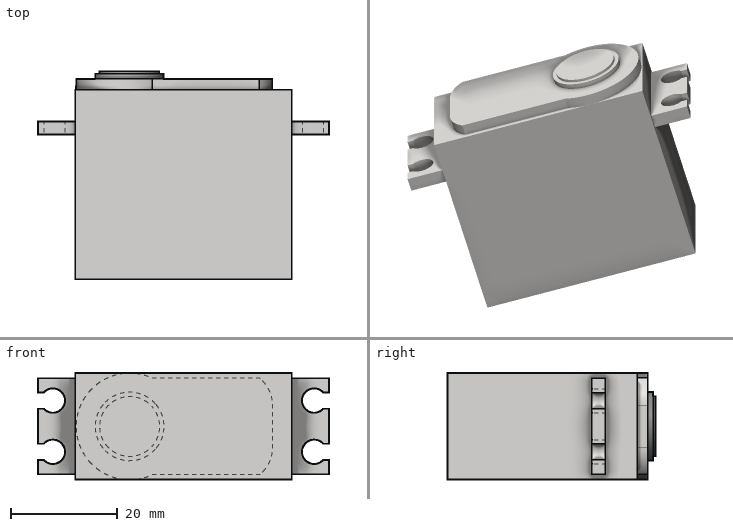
import cadquery as cq
import math

overall_length = 54.5
overall_depth = 39.0
case_height = 20.0
case_length = 40.6

lid_thickness = 2.0
boss_thickness = 1.0
boss_radius = 6.45
cap_thickness = 0.5
cap_radius = 5.6
case_depth = overall_depth - lid_thickness - boss_thickness - cap_thickness

disc_radius = case_height / 2
disc_inset = 0.15
output_x = -case_length / 2 + disc_inset + disc_radius
bar_start = 4.3
bar_end = 26.75
bar_corner_radius = 6.6
bar_corner_width = 2.4

ear_height = 18.05
ear_thickness = 2.5
ear_setback = 5.95
hole_diameter = 4.5
hole_spacing = 9.6
hole_edge_distance = 2.8
slot_width = 3.0
ear_back = case_depth - ear_setback


def box_from_front(length, depth, height, front):
    """Box centred on X and Z with its front face at Y = front."""
    return cq.Workplane("XY").box(length, depth, height).translate((0, front + depth / 2, 0))


def cylinder_on_output(radius, thickness, front):
    """Disc on the output axis, extending towards +Y from Y = front."""
    return cq.Workplane("XZ", origin=(output_x, front, 0)).circle(radius).extrude(-thickness)


def make_ears():
    """Plate through the case whose ends form the ears, with keyhole-shaped openings."""
    ears = box_from_front(overall_length, ear_thickness, ear_height, ear_back - ear_thickness)
    for side in (-1, 1):
        edge_x = side * overall_length / 2
        hole_x = edge_x - side * hole_edge_distance
        for hole_z in (-hole_spacing / 2, hole_spacing / 2):
            hole = (
                cq.Workplane("XZ", origin=(hole_x, ear_back, hole_z))
                .circle(hole_diameter / 2)
                .extrude(ear_thickness)
            )
            slot = (
                cq.Workplane("XZ", origin=((hole_x + edge_x) / 2, ear_back, hole_z))
                .rect(hole_edge_distance, slot_width)
                .extrude(ear_thickness)
            )
            ears = ears.cut(hole).cut(slot)
    return ears


def make_lid_bar():
    """Bar that leaves the disc where it meets its rim and ends in two rounded corners."""
    half_height = math.sqrt(disc_radius**2 - bar_start**2)
    end_x = output_x + bar_end
    corner_x = end_x - bar_corner_width
    center_x = end_x - bar_corner_radius

    start_angle = math.acos((corner_x - center_x) / bar_corner_radius)
    center_z = half_height - bar_corner_radius * math.sin(start_angle)
    middle_x = center_x + bar_corner_radius * math.cos(start_angle / 2)
    middle_z = center_z + bar_corner_radius * math.sin(start_angle / 2)

    return (
        cq.Workplane("XZ", origin=(0, case_depth, 0))
        .moveTo(output_x, -half_height)
        .lineTo(corner_x, -half_height)
        .threePointArc((middle_x, -middle_z), (end_x, -center_z))
        .lineTo(end_x, center_z)
        .threePointArc((middle_x, middle_z), (corner_x, half_height))
        .lineTo(output_x, half_height)
        .close()
        .extrude(-lid_thickness)
    )


case = box_from_front(case_length, case_depth, case_height, 0)
disc = cylinder_on_output(disc_radius, lid_thickness, case_depth)
boss = cylinder_on_output(boss_radius, boss_thickness, case_depth + lid_thickness)
cap = cylinder_on_output(cap_radius, cap_thickness, overall_depth - cap_thickness)

result = case.union(make_ears()).union(disc).union(make_lid_bar()).union(boss).union(cap)